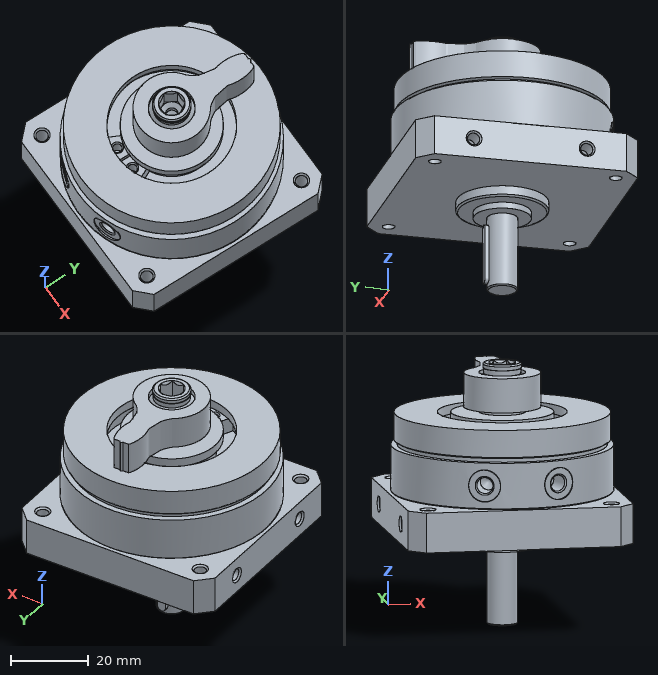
import cadquery as cq
import math

TOP_Z = 68.3
LEVER_TOP_Z = 65.7
LEVER_BOTTOM_Z = 56.75
RING_TOP_Z = 55.4
RING_BOTTOM_Z = 48.3
DRUM_TOP_Z = 46.9
PLATE_TOP_Z = 34.75
PLATE_BOTTOM_Z = 24.3
BOSS_BOTTOM_Z = 21.5
COLLAR_BOTTOM_Z = 19.9

PLATE_SIDE = 59.0
PLATE_CORNER_CUT = 4.0
DRUM_DIAMETER = 57.5
DRUM_CHAMFER = 0.3
NECK_DIAMETER = 54.2
RING_DIAMETER = 55.9
RING_CONE_HEIGHT = 0.4
BOSS_DIAMETER = 24.0
BOSS_CHAMFER = 0.5
COLLAR_DIAMETER = 15.0

SLOT_INNER_DIAMETER = 26.6
SLOT_OUTER_DIAMETER = 33.4
UNDERCUT_INNER_DIAMETER = 23.0
UNDERCUT_OUTER_DIAMETER = 37.0
LIP_HEIGHT = 2.45
SLOT_FLOOR_Z = 48.2

SCREW_HOLE_DIAMETER = 3.2
SCREW_HOLE_MOUTH = 4.2
CORNER_HOLE_OFFSET = 24.05
SIDE_HOLE_OFFSET = 15.0
SIDE_HOLE_DEPTH = 5.45

PORT_ANGLE = 20.0
PORT_Z = 40.9
PORT_FACE_RADIUS = 28.3
PORT_FACE_DIAMETER = 8.3
PORT_HOLE_DIAMETER = 4.2
PORT_MOUTH_DIAMETER = 4.9
PORT_DEPTH = 5.9

DRILL_POINT_ANGLE = 118.0

SHAFT_DIAMETER = 8.0
SHAFT_CHAMFER = 0.35
STEM_DIAMETER = 12.0
STEM_TOP_Z = 64.3
SHAFT_NECK_DIAMETER = 9.6
SHAFT_HEAD_DIAMETER = 10.0
SHAFT_HEAD_BOTTOM_Z = 66.85
SHAFT_HEAD_CHAMFER = 0.4

HEX_ACROSS_CORNERS = 6.9
HEX_DEPTH = 5.45
HEX_MOUTH_SLOPE = 60.0
CENTRE_HOLE_DIAMETER = 3.2
CENTRE_HOLE_DEPTH = 1.4

HUB_DIAMETER = 19.95
TIP_Y = 24.1
POINTER_Y = 24.6
POINTER_WIDTH = 0.95

KEY_WIDTH = 2.45
KEY_TOP_Y = 4.9
KEY_BOTTOM_Z = 1.4
KEY_TOP_Z = 17.6
KEY_BED_Y = 2.7

STOP_TOP_Z = 52.5
STOP_END_ANGLE = 26.0
STOP_GAP = 0.55
STOP_SCREW_ANGLE = 13.5
STOP_HOLE_DIAMETER = 2.45
STOP_HOLE_MOUTH = 3.2


def cylinder(diameter, bottom, top):
    return cq.Workplane("XY").workplane(offset=bottom).circle(diameter / 2).extrude(top - bottom)


def annulus(inner_diameter, outer_diameter, bottom, top):
    return cylinder(outer_diameter, bottom, top).cut(cylinder(inner_diameter, bottom, top))


def cone(bottom_diameter, top_diameter, bottom, top):
    base = cq.Vector(0, 0, bottom)
    solid = cq.Solid.makeCone(bottom_diameter / 2, top_diameter / 2, top - bottom, base)
    return cq.Workplane("XY").add(solid)


def drill_point_height(diameter, end_diameter=0.0):
    """Height of a drill point between two of its diameters."""
    return (diameter - end_diameter) / 2 / math.tan(math.radians(DRILL_POINT_ANGLE / 2))


def drilled_hole(diameter, mouth_diameter, depth, pointed=True):
    """Cutter along -Z from the origin, with a 45 degree mouth and an optional drill point."""
    radius = diameter / 2
    mouth = mouth_diameter / 2
    profile = cq.Workplane("XZ").moveTo(0, 0).lineTo(mouth, 0).lineTo(radius, radius - mouth)
    profile = profile.lineTo(radius, -depth)
    point_height = drill_point_height(diameter) if pointed else 0
    return profile.lineTo(0, -depth - point_height).close().revolve(360, (0, 0), (0, 1))


def make_housing():
    """Square plate with a round drum and ring above it, and a bearing boss below."""
    plate = (
        cq.Workplane("XY").workplane(offset=PLATE_BOTTOM_Z)
        .rect(PLATE_SIDE, PLATE_SIDE).extrude(PLATE_TOP_Z - PLATE_BOTTOM_Z)
        .edges("|Z").chamfer(PLATE_CORNER_CUT)
    )
    drum = cylinder(DRUM_DIAMETER, PLATE_TOP_Z, DRUM_TOP_Z).faces("<Z").chamfer(DRUM_CHAMFER)
    neck = cylinder(NECK_DIAMETER, DRUM_TOP_Z, RING_BOTTOM_Z)
    ring = cylinder(RING_DIAMETER, RING_BOTTOM_Z, RING_TOP_Z)
    ring_cone = cone(NECK_DIAMETER, RING_DIAMETER, RING_BOTTOM_Z - RING_CONE_HEIGHT, RING_BOTTOM_Z)
    boss = cylinder(BOSS_DIAMETER, BOSS_BOTTOM_Z, PLATE_BOTTOM_Z).faces("<Z").chamfer(BOSS_CHAMFER)
    collar = cylinder(COLLAR_DIAMETER, COLLAR_BOTTOM_Z, BOSS_BOTTOM_Z)
    body = plate.union(drum).union(neck).union(ring_cone).union(ring).union(boss).union(collar)

    lip_bottom = RING_TOP_Z - LIP_HEIGHT
    slot = annulus(SLOT_INNER_DIAMETER, SLOT_OUTER_DIAMETER, SLOT_FLOOR_Z, RING_TOP_Z)
    undercut = annulus(UNDERCUT_INNER_DIAMETER, UNDERCUT_OUTER_DIAMETER, SLOT_FLOOR_Z, lip_bottom)
    body = body.cut(slot).cut(undercut)

    body = body.cut(cylinder(STEM_DIAMETER, PLATE_BOTTOM_Z, RING_TOP_Z))
    body = body.cut(cylinder(SHAFT_DIAMETER, COLLAR_BOTTOM_Z, PLATE_BOTTOM_Z))

    plate_height = PLATE_TOP_Z - PLATE_BOTTOM_Z
    corner_hole = drilled_hole(SCREW_HOLE_DIAMETER, SCREW_HOLE_MOUTH, plate_height, pointed=False)
    for x_side in (-1, 1):
        for y_side in (-1, 1):
            place = (x_side * CORNER_HOLE_OFFSET, y_side * CORNER_HOLE_OFFSET, PLATE_TOP_Z)
            body = body.cut(corner_hole.translate(place))

    side_hole = drilled_hole(SCREW_HOLE_DIAMETER, SCREW_HOLE_MOUTH, SIDE_HOLE_DEPTH)
    side_hole = side_hole.rotate((0, 0, 0), (0, 1, 0), -90)
    for y_side in (-1, 1):
        place = (-PLATE_SIDE / 2, y_side * SIDE_HOLE_OFFSET, (PLATE_TOP_Z + PLATE_BOTTOM_Z) / 2)
        body = body.cut(side_hole.translate(place))

    port_face = cylinder(PORT_FACE_DIAMETER, 0, DRUM_DIAMETER / 2)
    port = drilled_hole(PORT_HOLE_DIAMETER, PORT_MOUTH_DIAMETER, PORT_DEPTH).union(port_face)
    port = port.rotate((0, 0, 0), (1, 0, 0), 90).translate((0, -PORT_FACE_RADIUS, PORT_Z))
    for angle in (-PORT_ANGLE, PORT_ANGLE):
        body = body.cut(port.rotate((0, 0, 0), (0, 0, 1), angle))
    return body


def make_lever():
    """Hub with a grip that narrows to a waist and widens again towards the tip."""
    hub_point = (7.5, 6.55)
    neck_middle = (4.9, 9.0)
    neck_end = (3.7, 11.05)
    waist_bottom = (2.95, 15.15)
    waist_top = (2.95, 15.65)
    side_middle = (3.4, 18.8)
    side_end = (2.6, 23.5)
    tip_corner = (2.2, TIP_Y)
    grip = (
        cq.Workplane("XY").workplane(offset=LEVER_BOTTOM_Z)
        .moveTo(0, hub_point[1]).lineTo(*hub_point)
        .threePointArc(neck_middle, neck_end)
        .lineTo(*waist_bottom)
        .lineTo(*waist_top)
        .threePointArc(side_middle, side_end)
        .lineTo(*tip_corner)
        .lineTo(POINTER_WIDTH / 2, TIP_Y)
        .lineTo(0, POINTER_Y)
        .close()
        .extrude(LEVER_TOP_Z - LEVER_BOTTOM_Z)
    )
    grip = grip.union(grip.mirror("YZ"))
    lever = cylinder(HUB_DIAMETER, LEVER_BOTTOM_Z, LEVER_TOP_Z).union(grip)
    return lever.cut(cylinder(STEM_DIAMETER, LEVER_BOTTOM_Z, LEVER_TOP_Z))


def make_rotor():
    """Stepped shaft with the lever and the feather key that turn with it."""
    shaft = cylinder(SHAFT_DIAMETER, 0, PLATE_BOTTOM_Z).faces("<Z").chamfer(SHAFT_CHAMFER)
    stem = cylinder(STEM_DIAMETER, PLATE_BOTTOM_Z, STEM_TOP_Z)
    cone_top = STEM_TOP_Z + (STEM_DIAMETER - SHAFT_NECK_DIAMETER) / 2
    stem_cone = cone(STEM_DIAMETER, SHAFT_NECK_DIAMETER, STEM_TOP_Z, cone_top)
    neck = cylinder(SHAFT_NECK_DIAMETER, STEM_TOP_Z, SHAFT_HEAD_BOTTOM_Z)
    head = cylinder(SHAFT_HEAD_DIAMETER, SHAFT_HEAD_BOTTOM_Z, TOP_Z).faces(">Z").chamfer(SHAFT_HEAD_CHAMFER)
    rotor = shaft.union(stem).union(stem_cone).union(neck).union(head).union(make_lever())

    hex_floor = TOP_Z - HEX_DEPTH
    socket = (
        cq.Workplane("XY").workplane(offset=hex_floor)
        .polygon(6, HEX_ACROSS_CORNERS).extrude(HEX_DEPTH)
    )
    across_flats = HEX_ACROSS_CORNERS * math.cos(math.radians(30))
    mouth_depth = (HEX_ACROSS_CORNERS - across_flats) / 2 * math.tan(math.radians(HEX_MOUTH_SLOPE))
    mouth = cone(across_flats, HEX_ACROSS_CORNERS, TOP_Z - mouth_depth, TOP_Z)
    floor_end = hex_floor - drill_point_height(across_flats, CENTRE_HOLE_DIAMETER)
    floor_cone = cone(CENTRE_HOLE_DIAMETER, across_flats, floor_end, hex_floor)
    hole_end = floor_end - CENTRE_HOLE_DEPTH
    centre = cylinder(CENTRE_HOLE_DIAMETER, hole_end, floor_end)
    point = cone(0, CENTRE_HOLE_DIAMETER, hole_end - drill_point_height(CENTRE_HOLE_DIAMETER), hole_end)
    rotor = rotor.cut(socket).cut(mouth).cut(floor_cone).cut(centre).cut(point)

    key = (
        cq.Workplane("XZ", origin=(0, KEY_TOP_Y, (KEY_TOP_Z + KEY_BOTTOM_Z) / 2))
        .slot2D(KEY_TOP_Z - KEY_BOTTOM_Z, KEY_WIDTH, 90).extrude(KEY_TOP_Y - KEY_BED_Y)
    )
    return rotor.union(key)


def make_stop(side):
    """Segment that spans the slot undercut on one side of the -Y direction, with a screw hole."""
    reach = UNDERCUT_OUTER_DIAMETER
    end = math.radians(STOP_END_ANGLE)
    wedge = (
        cq.Workplane("XY").workplane(offset=SLOT_FLOOR_Z)
        .moveTo(side * STOP_GAP / 2, -STOP_GAP / 2 / math.tan(end))
        .lineTo(side * STOP_GAP / 2, -reach)
        .lineTo(side * reach * math.tan(end), -reach)
        .close().extrude(STOP_TOP_Z - SLOT_FLOOR_Z)
    )
    track = annulus(UNDERCUT_INNER_DIAMETER, UNDERCUT_OUTER_DIAMETER, SLOT_FLOOR_Z, STOP_TOP_Z)
    stop = track.intersect(wedge)
    hole = drilled_hole(STOP_HOLE_DIAMETER, STOP_HOLE_MOUTH, STOP_TOP_Z - SLOT_FLOOR_Z, pointed=False)
    hole_radius = (SLOT_INNER_DIAMETER + SLOT_OUTER_DIAMETER) / 4
    hole = hole.translate((0, -hole_radius, STOP_TOP_Z))
    return stop.cut(hole.rotate((0, 0, 0), (0, 0, 1), side * STOP_SCREW_ANGLE))


housing = make_housing()
rotor = make_rotor()
stops = [make_stop(side) for side in (-1, 1)]

result = cq.Compound.makeCompound([housing.val(), rotor.val(), *[stop.val() for stop in stops]])